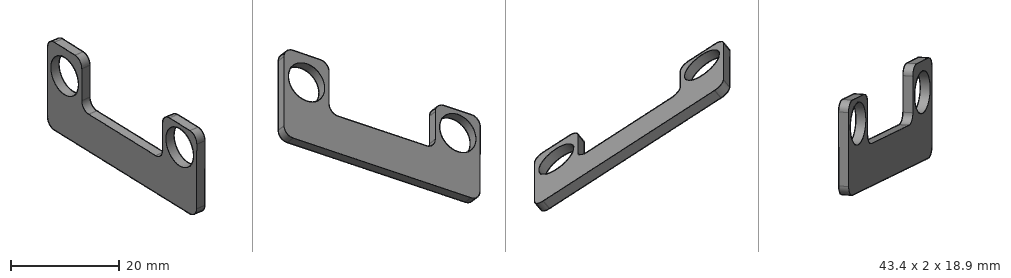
import cadquery as cq

length = 43.45
thickness = 2.0
left_height = 18.95
right_height = 17.95
bar_height = 8.0
tab_width = 10.0
corner_radius = 2.0
hole_diameter = 8.0
hole_height = 13.0
edge_taper = 0.1

outline = [
    (0, 0),
    (length - edge_taper, 0),
    (length, right_height),
    (length - tab_width, right_height),
    (length - tab_width, bar_height),
    (tab_width, bar_height),
    (tab_width, left_height - edge_taper),
    (0, left_height),
]
hole_centers = [
    (tab_width / 2, hole_height),
    (length - tab_width / 2, hole_height),
]


def make_plate():
    """Flat U-shaped plate standing on its long edge, with all corners rounded."""
    plate = cq.Workplane("XZ").polyline(outline).close().extrude(thickness)
    return plate.edges("|Y").fillet(corner_radius)


def make_holes():
    """One through hole in each tab."""
    return cq.Workplane("XZ").pushPoints(hole_centers).circle(hole_diameter / 2).extrude(thickness)


result = make_plate().cut(make_holes())